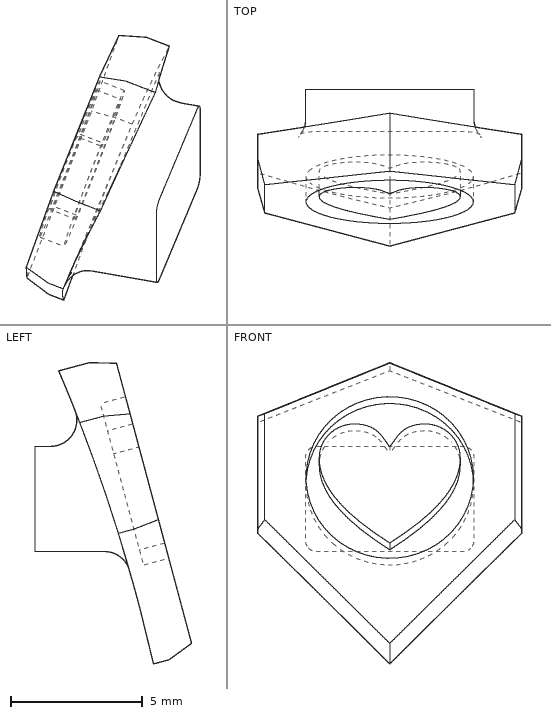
import cadquery as cq
import math

tilt = 15.0
half_width = 5.02
top_apex = 4.79
shoulder_top = 2.68
shoulder_bottom = -1.76
bottom_tip = -6.91
bevel_depth = 1.0
bevel_angle = 15.0
blank_thickness = 2.86

back_radius = 64.98
back_vertex_height = -4.35
thinnest = 1.56

pocket_diameter = 6.36
pocket_depth = 1.0
heart_cleft = 1.2
heart_lobe_radius = 1.34
heart_lobe_height = 0.77
heart_cleft_direction = (1, 1.5)
heart_side_control = -0.6
heart_tip_control = (1.26, -1.74)
heart_tip = -2.58

stem_width = 6.41
stem_height = 4.0
stem_centre_z = -0.81
stem_end_y = 4.27
stem_corner_radius = 0.42
stem_root_radius = 1.0

tilt_rad = math.radians(tilt)
front_normal = (0, -math.cos(tilt_rad), math.sin(tilt_rad))
front_plane = cq.Plane(origin=(0, 0, 0), xDir=(1, 0, 0), normal=front_normal)


def plane_at_depth(depth):
    """Plane parallel to the front face, the given depth behind it."""
    return cq.Workplane(front_plane).workplane(offset=-depth)


def plate_outline(depth):
    return plane_at_depth(depth).polyline([
        (0, top_apex),
        (half_width, shoulder_top),
        (half_width, shoulder_bottom),
        (0, bottom_tip),
        (-half_width, shoulder_bottom),
        (-half_width, shoulder_top),
    ]).close()


def make_plate():
    bevelled_front = plate_outline(bevel_depth).extrude(bevel_depth, taper=bevel_angle)
    straight_back = plate_outline(bevel_depth).extrude(bevel_depth - blank_thickness)
    section = cq.Plane(
        origin=(-half_width, 0, 0),
        xDir=front_plane.yDir.toTuple(),
        normal=(1, 0, 0),
    )
    back_cylinder = (
        cq.Workplane(section)
        .center(back_vertex_height, -(thinnest + back_radius))
        .circle(back_radius)
        .extrude(2 * half_width)
    )
    return bevelled_front.union(straight_back).cut(back_cylinder)


def make_stem():
    """Rounded bar running along Y from its free end to inside the plate."""
    middle_depth = (bevel_depth + thinnest) / 2
    bar = (
        cq.Workplane("XZ", origin=(0, stem_end_y, stem_centre_z))
        .rect(stem_width, stem_height)
        .extrude(2 * stem_end_y)
        .edges("|Y")
        .fillet(stem_corner_radius)
    )
    behind_plate = (
        plane_at_depth(middle_depth)
        .rect(4 * half_width, 4 * half_width)
        .extrude(-2 * stem_end_y)
    )
    return bar.intersect(behind_plate)


def make_heart():
    """Right half from an arc and a curve meeting at the widest point, mirrored for the left."""
    lobe_diagonal = heart_lobe_radius * math.sqrt(0.5)
    widest_x = 2 * heart_lobe_radius
    half = (
        plane_at_depth(pocket_depth)
        .moveTo(0, heart_cleft)
        .spline(
            [(heart_lobe_radius, heart_lobe_height + heart_lobe_radius)],
            tangents=[heart_cleft_direction, (1, 0)],
            includeCurrent=True,
        )
        .threePointArc(
            (heart_lobe_radius + lobe_diagonal, heart_lobe_height + lobe_diagonal),
            (widest_x, heart_lobe_height),
        )
        .bezier(
            [(widest_x, heart_side_control), heart_tip_control, (0, heart_tip)],
            includeCurrent=True,
        )
        .close()
        .extrude(pocket_depth)
    )
    return half.union(half.mirror("YZ"))


def round_stem_root(body):
    """Fillet the loop where the stem meets the concave back face."""
    back_face = [
        face for face in body.faces("%CYLINDER").vals()
        if face.Area() > half_width * half_width
    ][0]
    root_edges = back_face.innerWires()[0].Edges()
    return cq.Workplane(body.val().fillet(stem_root_radius, root_edges))


body = round_stem_root(make_plate().union(make_stem()))
pocket = plane_at_depth(pocket_depth).circle(pocket_diameter / 2).extrude(pocket_depth)
result = body.cut(pocket.cut(make_heart()))